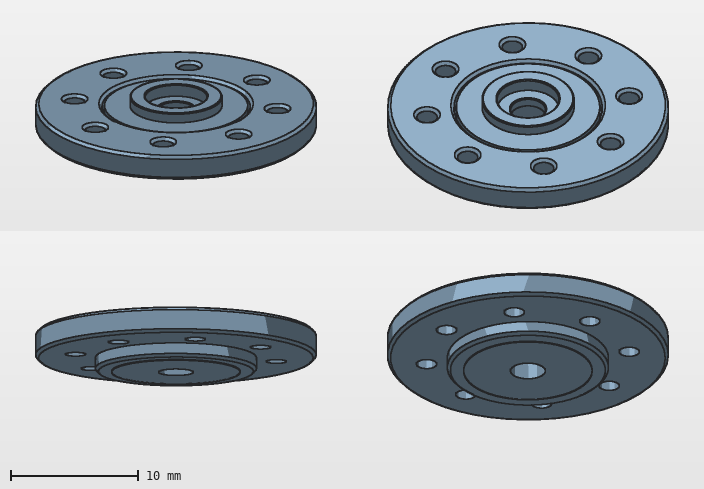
import cadquery as cq

TOTAL_HEIGHT = 3.8
HUB_BOTTOM = 0.07
FLANGE_BOTTOM = 1.15
FLANGE_THICKNESS = 2.0
FLANGE_TOP = FLANGE_BOTTOM + FLANGE_THICKNESS
SEAT_HEIGHT = 2.07
DISC_RECESS = 0.15
DISC_TOP = FLANGE_TOP - DISC_RECESS

FLANGE_RADIUS = 11.0
HUB_RADIUS = 6.31
POCKET_RADIUS = 5.8
EDGE_CHAMFER = 0.25

BOLT_COUNT = 8
BOLT_CIRCLE_RADIUS = 8.0
BOLT_HOLE_RADIUS = 0.8

DISC_RADIUS = 5.6
BOSS_RADIUS = 3.6
COUNTERBORE_RADIUS = 2.42
COUNTERBORE_DEPTH = 1.01
BORE_RADIUS = 1.36
BUSH_RADIUS = 5.04
FINE_CHAMFER = 0.09


def cylinder(radius, bottom, top):
    """Upright cylinder on the Z axis between two heights."""
    return cq.Workplane("XY").workplane(offset=bottom).circle(radius).extrude(top - bottom)


def countersink(radius, top, chamfer):
    """Cone that breaks the upper edge of a hole at 45 degrees."""
    return (
        cq.Workplane("XY")
        .workplane(offset=top - chamfer)
        .circle(radius)
        .workplane(offset=chamfer)
        .circle(radius + chamfer)
        .loft(ruled=True)
    )


def chamfered_hole(radius, bottom, top, chamfer):
    """Cutter for a hole with a chamfered mouth."""
    return cylinder(radius, bottom, top).union(countersink(radius, top, chamfer))


def make_flange():
    """Round flange with a lower hub, a stepped central opening and bolt holes."""
    plate = cylinder(FLANGE_RADIUS, FLANGE_BOTTOM, FLANGE_TOP).edges().chamfer(EDGE_CHAMFER)
    hub = cylinder(HUB_RADIUS, HUB_BOTTOM, SEAT_HEIGHT).faces("<Z").edges().chamfer(EDGE_CHAMFER)
    flange = plate.union(hub)

    flange = flange.cut(chamfered_hole(POCKET_RADIUS, SEAT_HEIGHT, FLANGE_TOP, EDGE_CHAMFER))
    flange = flange.cut(cylinder(BUSH_RADIUS, HUB_BOTTOM, SEAT_HEIGHT))

    bolt_hole = chamfered_hole(BOLT_HOLE_RADIUS, FLANGE_BOTTOM, FLANGE_TOP, EDGE_CHAMFER)
    bolt_hole = bolt_hole.translate((BOLT_CIRCLE_RADIUS, 0, 0))
    for index in range(BOLT_COUNT):
        angle = index * 360 / BOLT_COUNT
        flange = flange.cut(bolt_hole.rotate((0, 0, 0), (0, 0, 1), angle))
    return flange


def make_cap():
    """Disc with a raised boss, counterbored around the central bore."""
    disc = cylinder(DISC_RADIUS, SEAT_HEIGHT, DISC_TOP)
    boss = cylinder(BOSS_RADIUS, SEAT_HEIGHT, TOTAL_HEIGHT).faces(">Z").edges().chamfer(FINE_CHAMFER)
    counterbore_floor = TOTAL_HEIGHT - COUNTERBORE_DEPTH
    return (
        disc.union(boss)
        .cut(chamfered_hole(COUNTERBORE_RADIUS, counterbore_floor, TOTAL_HEIGHT, FINE_CHAMFER))
        .cut(chamfered_hole(BORE_RADIUS, SEAT_HEIGHT, counterbore_floor, FINE_CHAMFER))
    )


def make_bush():
    """Ring under the cap that fills the flange opening and stands just below the hub."""
    return cylinder(BUSH_RADIUS, 0, SEAT_HEIGHT).cut(cylinder(BORE_RADIUS, 0, SEAT_HEIGHT))


flange = make_flange()
cap = make_cap()
bush = make_bush()

result = cq.Compound.makeCompound([flange.val(), cap.val(), bush.val()])